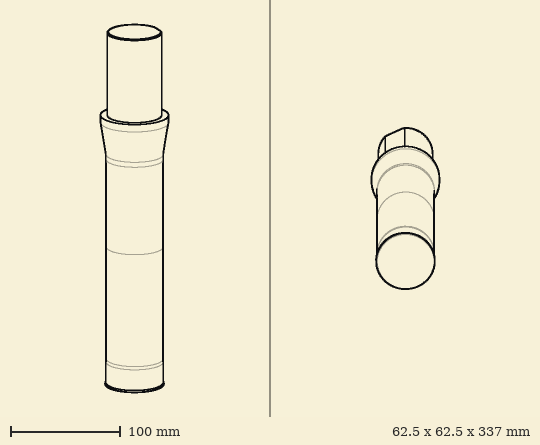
import cadquery as cq

total_height = 337.0
rim_bottom_z = 1.5
rim_middle_z = 2.5
rim_top_z = 3.5
lower_step_z = 23.3
upper_step_z = 26.3
body_joint_z = 132.8
neck_bottom_z = 216.0
neck_top_z = 220.7
collar_bottom_z = 251.0
collar_top_z = 257.8

head_diameter = 54.0
body_diameter = 52.5
waist_diameter = 52.2
collar_diameter = 62.5
shank_diameter = 50.0

rim_inset = 1.0
dome_edge_slope = 0.1

shank_chamfer = 1.0
flat_offset = 23.0
flat_lift = 2.5
runout_height = 2.0


def make_cutting_head():
    """Thin disc with a rounded rim and a gently domed underside."""
    head_radius = head_diameter / 2
    rim_start = (body_diameter / 2, rim_top_z)
    rim_widest = (head_radius, rim_middle_z)
    rim_end = (head_radius - rim_inset, rim_bottom_z)
    profile = (
        cq.Workplane("XZ")
        .moveTo(0, rim_top_z)
        .lineTo(*rim_start)
        .threePointArc(rim_widest, rim_end)
        .spline([(0, 0)], tangents=[(-1, -dome_edge_slope), (-1, 0)], includeCurrent=True)
        .close()
    )
    return profile.revolve(360, (0, 0, 0), (0, 1, 0))


def make_turned_holder():
    """Stepped body, flared collar and chamfered shank in one revolved profile."""
    body_radius = body_diameter / 2
    waist_radius = waist_diameter / 2
    collar_radius = collar_diameter / 2
    shank_radius = shank_diameter / 2
    profile = (
        cq.Workplane("XZ")
        .moveTo(0, rim_top_z)
        .lineTo(body_radius, rim_top_z)
        .lineTo(body_radius, lower_step_z)
        .lineTo(waist_radius, upper_step_z)
        .lineTo(waist_radius, body_joint_z)
        .lineTo(body_radius, neck_bottom_z)
        .lineTo(body_radius, neck_top_z)
        .lineTo(collar_radius, collar_bottom_z)
        .lineTo(collar_radius, collar_top_z)
        .lineTo(shank_radius, collar_top_z)
        .lineTo(shank_radius, total_height - shank_chamfer)
        .lineTo(shank_radius - shank_chamfer, total_height)
        .lineTo(0, total_height)
        .close()
    )
    return profile.revolve(360, (0, 0, 0), (0, 1, 0))


def make_flat_cutter():
    """Block that mills the flat on the +Y side, with a sloped run-out at its foot."""
    foot_z = collar_top_z + flat_lift
    shank_radius = shank_diameter / 2
    return (
        cq.Workplane("YZ")
        .moveTo(shank_radius, foot_z)
        .lineTo(flat_offset, foot_z + runout_height)
        .lineTo(flat_offset, total_height)
        .lineTo(shank_radius, total_height)
        .close()
        .extrude(shank_radius, both=True)
    )


cutting_head = make_cutting_head()
holder = make_turned_holder().cut(make_flat_cutter())

result = cq.Compound.makeCompound([cutting_head.val(), holder.val()])